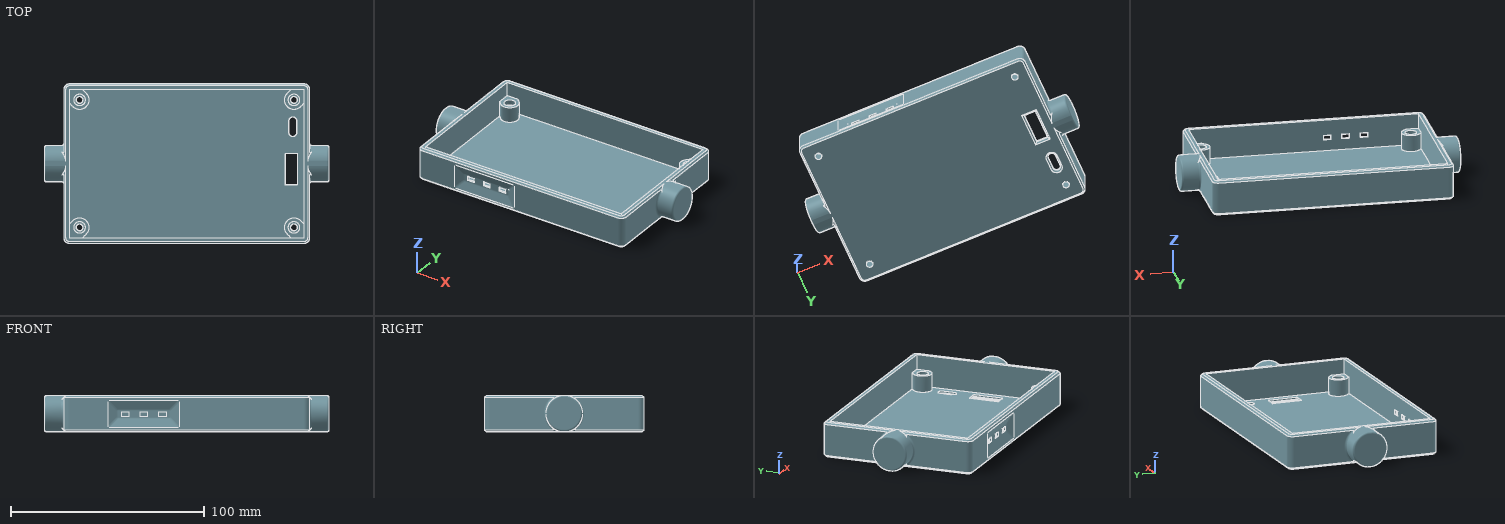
import cadquery as cq
import math

CASE_LENGTH = 127.3
CASE_WIDTH = 82.75
CASE_HEIGHT = 18.8
WALL = 3.0
FLOOR = 2.0
CORNER_RADIUS = 3.0
EDGE_CHAMFER = 1.0

KNOB_RADIUS = 9.5
KNOB_LENGTH = 10.0
KNOB_FILLET = 1.0

POST_SPACING_X = 111.0
POST_SPACING_Y = 66.0
POST_RADIUS = 4.9
POST_HEIGHT = 8.8
SCREW_HOLE_DIAMETER = 3.4
COUNTERBORE_DIAMETER = 6.0
COUNTERBORE_DEPTH = 3.0

SLOT_CENTER = (54.9, 19.1)
SLOT_LENGTH = 10.0
SLOT_WIDTH = 4.0
WINDOW_CENTER = (54.2, -2.8)
WINDOW_LENGTH_X = 6.2
WINDOW_LENGTH_Y = 16.0
OPENING_CHAMFER = FLOOR / 2

POCKET_CENTER_X = -22.2
POCKET_CENTER_Z = 9.1
POCKET_LENGTH = 37.0
POCKET_HEIGHT = 14.0
POCKET_INSET = 4.9
POCKET_DEPTH = 2.0
POCKET_FILLET = 2.0
PORT_COUNT = 3
PORT_SPACING = 9.7
PORT_LENGTH = 4.0
PORT_HEIGHT = 2.3

CHAMFER_ANGLE = 45.0
SELECT_MARGIN = 0.1

MID_HEIGHT = CASE_HEIGHT / 2
INNER_LENGTH = CASE_LENGTH - 2 * WALL
INNER_WIDTH = CASE_WIDTH - 2 * WALL


def make_block():
    """Solid case block with rounded corners and chamfered top and bottom rims."""
    block = cq.Workplane("XY").box(CASE_LENGTH, CASE_WIDTH, CASE_HEIGHT, centered=(True, True, False))
    block = block.edges("|Z").fillet(CORNER_RADIUS)
    return block.faces("<Z or >Z").edges().chamfer(EDGE_CHAMFER)


def make_cavity():
    """Space inside the tray, above the floor."""
    cavity = cq.Workplane("XY").box(INNER_LENGTH, INNER_WIDTH, CASE_HEIGHT, centered=(True, True, False))
    return cavity.translate((0, 0, FLOOR))


def make_knob_bar():
    """Flattened round bar along X whose two ends, with all edges rounded, form the knobs."""
    bar_length = CASE_LENGTH + 2 * KNOB_LENGTH
    bar = cq.Workplane("YZ", origin=(0, 0, MID_HEIGHT)).circle(KNOB_RADIUS).extrude(bar_length / 2, both=True)
    slab = cq.Workplane("XY").box(bar_length, CASE_WIDTH, CASE_HEIGHT, centered=(True, True, False))
    bar = bar.intersect(slab)
    bar = bar.edges("|X").fillet(KNOB_FILLET)
    return bar.faces("<X or >X").edges().fillet(KNOB_FILLET)


def knob_root_selector(side):
    """Selects the edges where a knob meets the flat end wall on the +X (1) or -X (-1) side."""
    wall_x = side * CASE_LENGTH / 2
    low_corner = (wall_x - SELECT_MARGIN, -KNOB_RADIUS, 0)
    high_corner = (wall_x + SELECT_MARGIN, KNOB_RADIUS, CASE_HEIGHT)
    return cq.selectors.BoxSelector(low_corner, high_corner)


def make_body():
    """Case block joined to both knobs, with fillets at the knob roots."""
    body = make_block().union(make_knob_bar())
    return body.edges(knob_root_selector(-1) + knob_root_selector(1)).fillet(KNOB_FILLET)


def make_post(side_x, side_y):
    """Screw post: a cylinder joined to the case corner by a diagonal web as wide as itself."""
    x = side_x * POST_SPACING_X / 2
    y = side_y * POST_SPACING_Y / 2
    cylinder = cq.Workplane("XY").circle(POST_RADIUS).extrude(POST_HEIGHT)
    web = cq.Workplane("XY").box(2 * POST_RADIUS, 2 * POST_RADIUS, POST_HEIGHT, centered=(False, True, False))
    web_angle = math.degrees(math.atan2(side_y, side_x))
    web = web.rotate((0, 0, 0), (0, 0, 1), web_angle)
    post = cylinder.union(web).translate((x, y, FLOOR))
    return post.intersect(make_cavity())


def make_screw_hole(side_x, side_y):
    """Through hole with a counterbore from the top of its post."""
    x = side_x * POST_SPACING_X / 2
    y = side_y * POST_SPACING_Y / 2
    post_top = FLOOR + POST_HEIGHT
    hole = cq.Workplane("XY").circle(SCREW_HOLE_DIAMETER / 2).extrude(post_top)
    counterbore = cq.Workplane("XY", origin=(0, 0, post_top - COUNTERBORE_DEPTH))
    counterbore = counterbore.circle(COUNTERBORE_DIAMETER / 2).extrude(COUNTERBORE_DEPTH)
    return hole.union(counterbore).translate((x, y, 0))


def make_slot(growth, depth, taper):
    """Round-ended slot running along Y, enlarged all round by growth and cut up from the underside."""
    sketch = cq.Workplane("XY").center(*SLOT_CENTER)
    sketch = sketch.slot2D(SLOT_LENGTH + 2 * growth, SLOT_WIDTH + 2 * growth, 90)
    return sketch.extrude(depth, taper=taper)


def make_window(growth, depth, taper):
    """Rectangular window, enlarged all round by growth and cut up from the underside."""
    sketch = cq.Workplane("XY").center(*WINDOW_CENTER)
    sketch = sketch.rect(WINDOW_LENGTH_X + 2 * growth, WINDOW_LENGTH_Y + 2 * growth)
    return sketch.extrude(depth, taper=taper)


def make_floor_openings():
    """Slot and window through the floor, each with its chamfered mouth at the underside."""
    through = make_slot(0, FLOOR, 0).union(make_window(0, FLOOR, 0))
    slot_mouth = make_slot(OPENING_CHAMFER, OPENING_CHAMFER, CHAMFER_ANGLE)
    window_mouth = make_window(OPENING_CHAMFER, OPENING_CHAMFER, CHAMFER_ANGLE)
    return through.union(slot_mouth).union(window_mouth)


def make_pocket():
    """Front pocket that narrows inwards, with its sloping corners and back edges rounded."""
    front = cq.Workplane("XZ", origin=(POCKET_CENTER_X, -CASE_WIDTH / 2, POCKET_CENTER_Z))
    pocket = (
        front.rect(POCKET_LENGTH, POCKET_HEIGHT)
        .workplane(offset=-POCKET_DEPTH)
        .rect(POCKET_LENGTH - 2 * POCKET_INSET, POCKET_HEIGHT - 2 * POCKET_INSET)
        .loft(ruled=True)
    )
    return pocket.edges("not(<Y)").fillet(POCKET_FILLET)


def make_ports():
    """Row of rectangular ports through the front wall, centred on the pocket."""
    ports = (
        cq.Workplane("XZ", origin=(POCKET_CENTER_X, -CASE_WIDTH / 2 + WALL, POCKET_CENTER_Z))
        .rarray(PORT_SPACING, 1, PORT_COUNT, 1)
        .rect(PORT_LENGTH, PORT_HEIGHT)
    )
    return ports.extrude(WALL)


result = make_body().cut(make_cavity())

for side_x in (-1, 1):
    for side_y in (-1, 1):
        result = result.union(make_post(side_x, side_y))
        result = result.cut(make_screw_hole(side_x, side_y))

result = result.cut(make_floor_openings())
result = result.cut(make_pocket())
result = result.cut(make_ports())